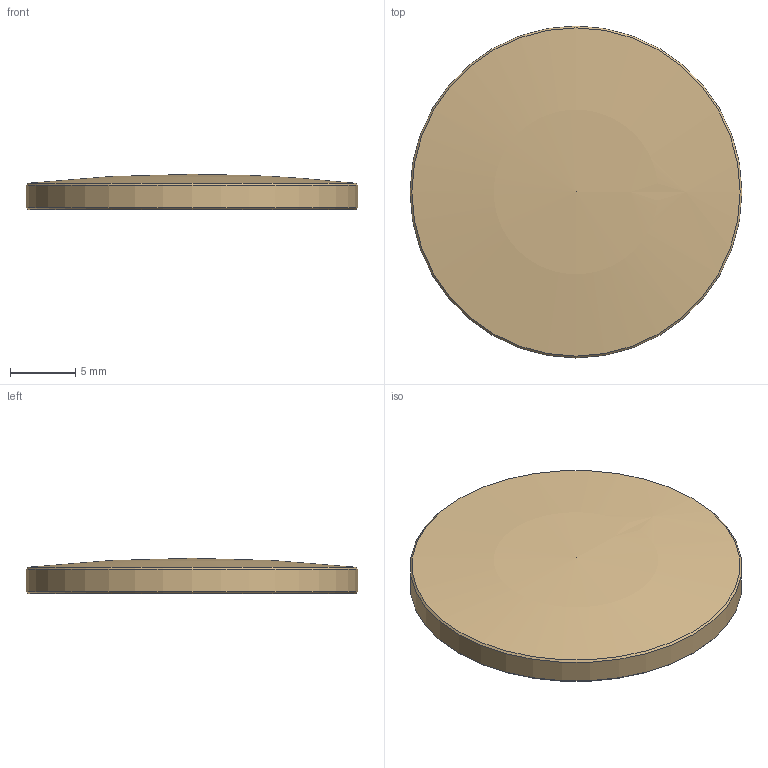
import cadquery as cq
import math

diameter = 25.4
center_thickness = 2.7
edge_thickness = 2.0
bevel_face_width = 0.2

radius = diameter / 2
bevel_leg = bevel_face_width * math.cos(math.radians(45))
dome_rise = center_thickness - edge_thickness
sphere_radius = (radius**2 + dome_rise**2) / (2 * dome_rise)


def dome_z(distance):
    """Height of the convex face at a distance from the optical axis."""
    drop = sphere_radius - math.sqrt(sphere_radius**2 - distance**2)
    return center_thickness - drop


face_radius = radius - bevel_leg
dome_rim_z = dome_z(face_radius)
arc_mid_radius = face_radius / 2

half_section = (
    cq.Workplane("XZ")
    .lineTo(face_radius, 0)
    .lineTo(radius, bevel_leg)
    .lineTo(radius, dome_rim_z - bevel_leg)
    .lineTo(face_radius, dome_rim_z)
    .threePointArc((arc_mid_radius, dome_z(arc_mid_radius)), (0, center_thickness))
    .close()
)

result = half_section.revolve(360, (0, 0, 0), (0, 1, 0))